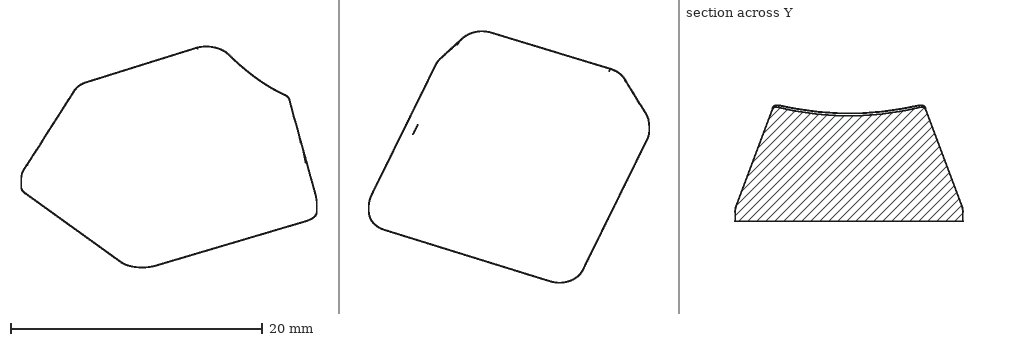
import cadquery as cq
import math

base_size = 18.16
corner_radius = 2.0
skirt_height = 0.76
shoulder_height = 0.55
shoulder_top = skirt_height + shoulder_height

side_lean = 0.375
front_lean = 0.4
back_lean = 0.09

blank_height = 10.53
dish_radius = 23.6
dish_bottom = 8.43
dish_tilt = 1.3
dish_length = 3 * base_size
rim_radius = 0.36


def taper_run(height):
    """Rise that the wall leans count over: parabolic in the shoulder, straight above."""
    rise = height - skirt_height
    if rise < shoulder_height:
        return rise**2 / (2 * shoulder_height)
    return rise - shoulder_height / 2


def rounded_outline(height):
    """Closed rounded-rectangle wire of the tapered blank at a height."""
    run = taper_run(height)
    width = base_size - 2 * side_lean * run
    depth = base_size - (front_lean + back_lean) * run
    center_y = (front_lean - back_lean) * run / 2
    plate = cq.Workplane("XY").rect(width, depth).extrude(0.18).edges("|Z").fillet(corner_radius)
    outline = plate.faces("<Z").val().outerWire()
    return outline.moved(cq.Location(cq.Vector(0, center_y, height)))


def make_blank():
    """Straight skirt, curved shoulder and tapered walls stacked into one solid."""
    shoulder_middle = skirt_height + shoulder_height / 2
    shoulder_levels = [skirt_height, shoulder_middle, shoulder_top]
    skirt = (
        cq.Workplane("XY")
        .rect(base_size, base_size)
        .extrude(skirt_height)
        .edges("|Z")
        .fillet(corner_radius)
    )
    shoulder = cq.Solid.makeLoft([rounded_outline(z) for z in shoulder_levels])
    walls = cq.Solid.makeLoft([rounded_outline(z) for z in (shoulder_top, blank_height)], True)
    return skirt.union(cq.Workplane(obj=shoulder)).union(cq.Workplane(obj=walls))


def make_dish():
    """Tilted cylinder running front to back whose underside forms the dish."""
    tilt = math.radians(dish_tilt)
    axis = cq.Vector(0, math.cos(tilt), math.sin(tilt))
    middle = cq.Vector(0, 0, dish_bottom + dish_radius / math.cos(tilt))
    start = middle - axis * (dish_length / 2)
    return cq.Workplane(obj=cq.Solid.makeCylinder(dish_radius, dish_length, start, axis))


result = make_blank().cut(make_dish())
result = result.faces(">Z").edges().fillet(rim_radius)